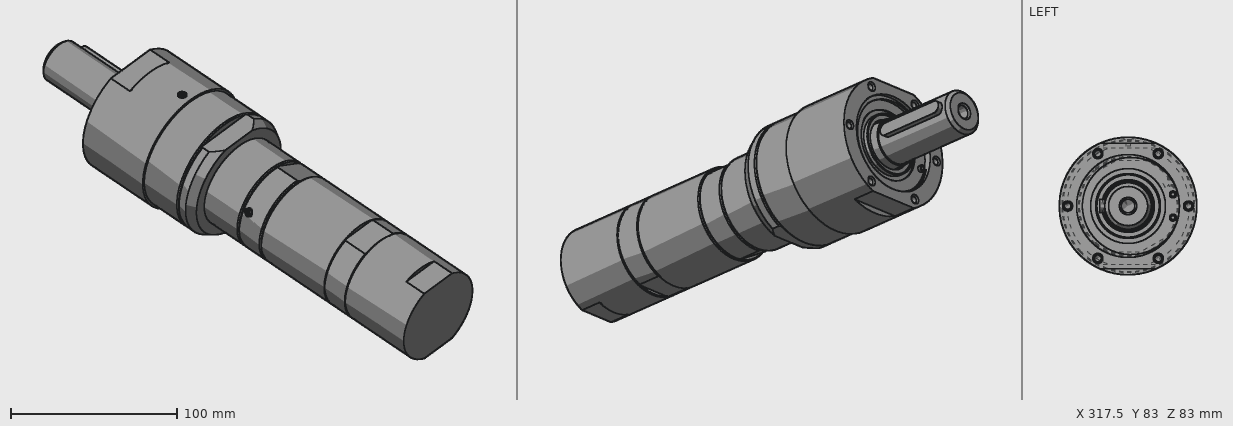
import cadquery as cq
import math

SHAFT_END = 59.7
FRONT_FACE = 61.3
FRONT_FLAT_END = 77.0
HOUSING_END = 111.0
CLAMP_GROOVE = 139.0
CLAMP_CHAMFER_START = 145.5
CLAMP_END = 151.5
RING_GROOVE_FRONT = 179.7
RING_GROOVE_REAR = 198.0
WAIST_START = 251.0
WAIST_END = 268.3
TAIL_START = 302.5
TOTAL_LENGTH = 317.5

SHAFT_DIA = 28.0
COLLAR_DIA = 30.0
HOUSING_DIA = 83.0
CLAMP_DIA = 80.0
MOTOR_DIA = 60.0

SHAFT_CHAMFER = 2.2
CLAMP_CHAMFER_DEPTH = 3.2
GROOVE_HALF_WIDTH = 1.0
GROOVE_DEPTH = 0.5
EDGE_CHAMFER = 0.5

FRONT_FLATS = 75.5
CLAMP_FLATS = 70.0
MOTOR_FLATS = 55.0
RING_FLAT_TILT = 30.0

KEY_START = 4.8
KEY_LENGTH = 50.2
KEY_WIDTH = 8.0
KEY_TOP = 17.0

RECESS_DIA = 62.0
RING_DEPTH = 2.5
RING_THICKNESS = 2.0
RING_BORE_DIA = 58.5
RING_BORE_SHIFT = 1.75
RING_FACE = FRONT_FACE + RING_DEPTH
SEAL_FACE = RING_FACE + RING_THICKNESS
SEAL_TRENCH_DIA = 45.0
SEAL_TRENCH_DEPTH = 1.0
LIP_OUTER_DIA = 39.0
LIP_INNER_DIA = 37.5
LIP_GAP_DIA = 31.8
LIP_BORE_DEPTH = 1.0
SHAFT_GAP_DEPTH = 4.5

LUG_DIA = 4.0
LUG_HOLE_DIA = 2.5
LUG_Y = -27.0
LUG_Z = 7.0

TAP_MOUTH_DIA = 6.0
TAP_DRILL_DIA = 4.0
TAP_DEPTH = 9.5
BOLT_COUNT = 6
BOLT_CIRCLE_DIA = 72.7
TOP_HOLE_X = 104.5
SIDE_HOLE_X = 184.5
SIDE_HOLE_TILT = 30.0
PLUG_MOUTH_DIA = 5.5
PLUG_SINK = 1.3
SOCKET_DIA = 2.5
SOCKET_DEPTH = 2.5
CENTRE_MOUTH_DIA = 10.5
CENTRE_DRILL_DIA = 8.3
CENTRE_DEPTH = 22.2
DRILL_POINT_ANGLE = 118.0


def disc(x_start, length, diameter, y=0.0, z=0.0):
    """Cylinder along +X starting at x_start."""
    return cq.Workplane("YZ", origin=(x_start, y, z)).circle(diameter / 2).extrude(length)


def tube(x_start, length, outer_dia, inner_dia):
    """Concentric ring along +X starting at x_start."""
    return disc(x_start, length, outer_dia).cut(disc(x_start, length, inner_dia))


def v_groove(x, radius):
    """Profile points of a V-groove centred at x on a cylinder."""
    return [
        (x - GROOVE_HALF_WIDTH, radius),
        (x, radius - GROOVE_DEPTH),
        (x + GROOVE_HALF_WIDTH, radius),
    ]


def chamfered_joint(x, radius):
    """Profile points of a joint where only the section behind x has a chamfered edge."""
    return [
        (x, radius),
        (x, radius - EDGE_CHAMFER),
        (x + EDGE_CHAMFER, radius),
    ]


def turned_body():
    shaft_r = SHAFT_DIA / 2
    collar_r = COLLAR_DIA / 2
    housing_r = HOUSING_DIA / 2
    clamp_r = CLAMP_DIA / 2
    motor_r = MOTOR_DIA / 2
    profile = [
        (0, 0),
        (0, shaft_r - SHAFT_CHAMFER),
        (SHAFT_CHAMFER, shaft_r),
        (SHAFT_END, shaft_r),
        (SHAFT_END, collar_r),
        (FRONT_FACE, collar_r),
        (FRONT_FACE, housing_r),
        (HOUSING_END, housing_r),
        (HOUSING_END, clamp_r),
        *v_groove(CLAMP_GROOVE, clamp_r),
        (CLAMP_CHAMFER_START, clamp_r),
        (CLAMP_END, clamp_r - CLAMP_CHAMFER_DEPTH),
        (CLAMP_END, motor_r),
        *v_groove(RING_GROOVE_FRONT, motor_r),
        *v_groove(RING_GROOVE_REAR, motor_r),
        *chamfered_joint(WAIST_START, motor_r),
        *chamfered_joint(WAIST_END, motor_r),
        (TOTAL_LENGTH, motor_r),
        (TOTAL_LENGTH, 0),
    ]
    return cq.Workplane("XY").polyline(profile).close().revolve(360, (0, 0, 0), (1, 0, 0))


def flats_cutter(x_start, x_end, across, tilt=0.0):
    """Two blocks that leave parallel flats; tilt turns them about X from +Z towards +Y."""
    length = x_end - x_start
    middle = (x_start + x_end) / 2
    height = HOUSING_DIA / 2
    offset = across / 2 + height / 2
    upper = cq.Workplane("XY").box(length, 2 * HOUSING_DIA, height).translate((middle, 0, offset))
    lower = upper.translate((0, 0, -2 * offset))
    return upper.union(lower).rotate((0, 0, 0), (1, 0, 0), -tilt)


def shaft_key():
    return (
        cq.Workplane("XZ")
        .center(KEY_START + KEY_LENGTH / 2, 0)
        .slot2D(KEY_LENGTH, KEY_WIDTH)
        .extrude(-KEY_TOP)
    )


def hole_cutter(mouth_dia, drill_dia, depth):
    """Drilled hole along +X from the origin with a 45 degree mouth and a drill point."""
    mouth_r = mouth_dia / 2
    drill_r = drill_dia / 2
    point = drill_r / math.tan(math.radians(DRILL_POINT_ANGLE / 2))
    profile = [
        (0, 0),
        (0, mouth_r),
        (mouth_r - drill_r, drill_r),
        (depth, drill_r),
        (depth + point, 0),
    ]
    return cq.Workplane("XY").polyline(profile).close().revolve(360, (0, 0, 0), (1, 0, 0))


def tapped_hole():
    return hole_cutter(TAP_MOUTH_DIA, TAP_DRILL_DIA, TAP_DEPTH)


def plugged_hole(x, radius, tilt):
    """Radial hole closed by a sunken screw plug with a socket; tilt turns it about X from +Z."""
    mouth = disc(0, PLUG_SINK, PLUG_MOUTH_DIA)
    sunken_edge = disc(0, 2 * PLUG_SINK, TAP_DRILL_DIA)
    socket = disc(0, 2 * PLUG_SINK + SOCKET_DEPTH, SOCKET_DIA)
    hole = mouth.union(sunken_edge).union(socket).rotate((0, 0, 0), (0, 1, 0), 90)
    return hole.translate((x, 0, radius)).rotate((0, 0, 0), (1, 0, 0), tilt)


def bolt_holes():
    hole = tapped_hole().translate((FRONT_FACE, BOLT_CIRCLE_DIA / 2, 0))
    holes = hole
    for index in range(1, BOLT_COUNT):
        holes = holes.union(hole.rotate((0, 0, 0), (1, 0, 0), index * 360 / BOLT_COUNT))
    return holes


def front_recess():
    """Everything removed around the shaft collar; the seal lip stands up level with the retaining ring."""
    mouth = tube(FRONT_FACE, RING_DEPTH, RECESS_DIA, COLLAR_DIA)
    ring_seat = tube(RING_FACE, RING_THICKNESS, RECESS_DIA, LIP_OUTER_DIA)
    trench = tube(SEAL_FACE, SEAL_TRENCH_DEPTH, SEAL_TRENCH_DIA, LIP_OUTER_DIA)
    lip_bore = tube(RING_FACE, LIP_BORE_DEPTH, LIP_INNER_DIA, COLLAR_DIA)
    shaft_gap = tube(RING_FACE, SHAFT_GAP_DEPTH, LIP_GAP_DIA, COLLAR_DIA)
    return mouth.union(ring_seat).union(trench).union(lip_bore).union(shaft_gap)


def retaining_ring():
    """Internal retaining ring, widest at +Y, with an open gap between two lugs at -Y."""
    ring = disc(RING_FACE, RING_THICKNESS, RECESS_DIA)
    ring = ring.cut(disc(RING_FACE, RING_THICKNESS, RING_BORE_DIA, -RING_BORE_SHIFT))
    gap = cq.Workplane("XY").box(2 * RING_THICKNESS, RECESS_DIA / 2, 2 * LUG_Z)
    ring = ring.cut(gap.translate((RING_FACE, -RECESS_DIA / 2, 0)))
    for lug_z in (-LUG_Z, LUG_Z):
        ring = ring.union(disc(RING_FACE, RING_THICKNESS, LUG_DIA, LUG_Y, lug_z))
        ring = ring.cut(disc(RING_FACE, RING_THICKNESS, LUG_HOLE_DIA, LUG_Y, lug_z))
    return ring


body = turned_body().union(shaft_key())

body = body.cut(flats_cutter(FRONT_FACE, FRONT_FLAT_END, FRONT_FLATS))
body = body.cut(flats_cutter(CLAMP_GROOVE, CLAMP_END, CLAMP_FLATS))
body = body.cut(flats_cutter(RING_GROOVE_FRONT, RING_GROOVE_REAR, MOTOR_FLATS, RING_FLAT_TILT))
body = body.cut(flats_cutter(WAIST_START, WAIST_END, MOTOR_FLATS))
body = body.cut(flats_cutter(TAIL_START, TOTAL_LENGTH, MOTOR_FLATS))

body = body.cut(front_recess()).union(retaining_ring())

body = body.cut(bolt_holes())
body = body.cut(hole_cutter(CENTRE_MOUTH_DIA, CENTRE_DRILL_DIA, CENTRE_DEPTH))
body = body.cut(plugged_hole(TOP_HOLE_X, HOUSING_DIA / 2, 0))
body = body.cut(plugged_hole(SIDE_HOLE_X, MOTOR_DIA / 2, 90 - SIDE_HOLE_TILT))

result = body